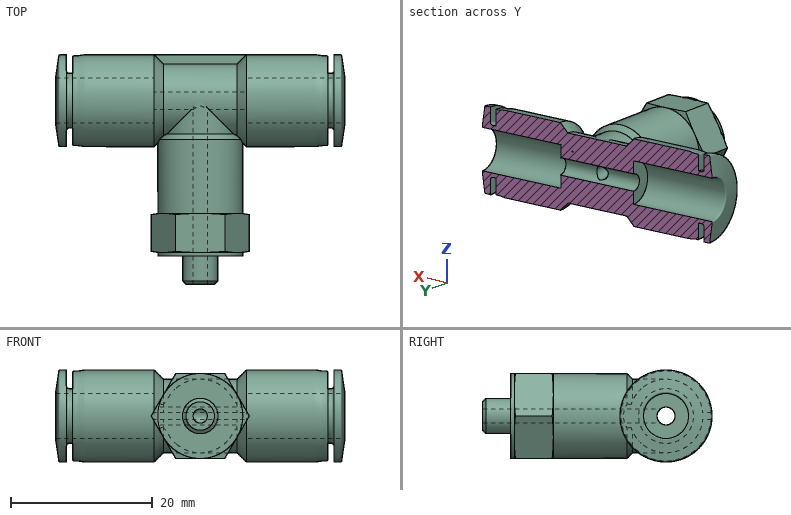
import cadquery as cq
import math


neck_radius = 5.2
bore_radius = 2.5 / 2
web_thickness = 1.0

body_radius = 13.0 / 2
body_start = 6.5
body_cone_length = body_radius - neck_radius
body_end = 16.3
lip_radius = 12.7 / 2
lip_start = 17.28
lip_end = 18.0
lip_fillet = 0.22

run_half_length = 40.79 / 2
collet_stem_radius = 7.75 / 2
flange_radius = 13.0 / 2
flange_back = 18.86
flange_front_edge = 19.97
flange_fillet = 0.25
stem_fillet = 0.36
socket_radius = 6.35 / 2
socket_floor = body_start
socket_mouth_fillet = 0.21

branch_radius = 12.0 / 2
branch_start = 5.5
branch_cone_length = branch_radius - neck_radius
hex_across_flats = 12.0
hex_sides = 6
hex_start = 15.9
hex_end = 21.4
hex_chamfer_angle = 10.0
collar_end = 21.9
pin_radius = 5.0 / 2
pin_chamfer = 0.5
branch_end = 32.4 - body_radius
pin_bore_radius = 2.0 / 2


def rod_x(radius, start, end):
    """Cylinder on the X axis."""
    return cq.Workplane("YZ", origin=(start, 0, 0)).circle(radius).extrude(end - start)


def rod_branch(radius, start, end):
    """Cylinder on the branch axis, from start to end toward -Y."""
    return cq.Workplane("XZ", origin=(0, -start, 0)).circle(radius).extrude(end - start)


def make_run_body():
    """Revolved +X body with its inner cone, end taper and rounded lip."""
    profile = (
        cq.Workplane("XY")
        .moveTo(0, 0)
        .lineTo(0, neck_radius)
        .lineTo(body_start - body_cone_length, neck_radius)
        .lineTo(body_start, body_radius)
        .lineTo(body_end, body_radius)
        .lineTo(lip_start, lip_radius)
        .lineTo(lip_end - lip_fillet, lip_radius)
        .radiusArc((lip_end, lip_radius - lip_fillet), lip_fillet)
        .lineTo(lip_end, 0)
        .close()
    )
    return profile.revolve(360, (0, 0, 0), (1, 0, 0))


def make_collet():
    """Revolved +X collet: stem, flange with a shallow conical face, rounded edges."""
    profile = (
        cq.Workplane("XY")
        .moveTo(body_end, 0)
        .lineTo(body_end, collet_stem_radius)
        .lineTo(flange_back - stem_fillet, collet_stem_radius)
        .radiusArc((flange_back, collet_stem_radius + stem_fillet), -stem_fillet)
        .lineTo(flange_back, flange_radius)
        .lineTo(flange_front_edge - flange_fillet, flange_radius)
        .radiusArc((flange_front_edge, flange_radius - flange_fillet), flange_fillet)
        .lineTo(run_half_length, socket_radius + socket_mouth_fillet)
        .lineTo(run_half_length, 0)
        .close()
    )
    return profile.revolve(360, (0, 0, 0), (1, 0, 0))


def make_socket():
    """Tube socket of the +X end, with its rounded mouth."""
    mouth_start = run_half_length - socket_mouth_fillet
    profile = (
        cq.Workplane("XY")
        .moveTo(socket_floor, 0)
        .lineTo(socket_floor, socket_radius)
        .lineTo(mouth_start, socket_radius)
        .radiusArc((run_half_length, socket_radius + socket_mouth_fillet), -socket_mouth_fillet)
        .lineTo(run_half_length, 0)
        .close()
    )
    return profile.revolve(360, (0, 0, 0), (1, 0, 0))


def make_run_end():
    """Complete +X end of the run."""
    return make_run_body().union(make_collet()).cut(make_socket())


def make_web():
    """Flat rib that bridges the two bodies along the back of the neck."""
    return cq.Workplane("XY").box(
        2 * body_start, body_radius, web_thickness, centered=(True, False, True)
    )


def make_branch():
    """Revolved branch: neck, cone, barrel, collar and chamfered pin."""
    profile = (
        cq.Workplane("XY")
        .moveTo(0, 0)
        .lineTo(neck_radius, 0)
        .lineTo(neck_radius, -(branch_start - branch_cone_length))
        .lineTo(branch_radius, -branch_start)
        .lineTo(branch_radius, -collar_end)
        .lineTo(pin_radius, -collar_end)
        .lineTo(pin_radius, -(branch_end - pin_chamfer))
        .lineTo(pin_radius - pin_chamfer, -branch_end)
        .lineTo(0, -branch_end)
        .close()
    )
    return profile.revolve(360, (0, 0, 0), (0, 1, 0))


def make_hexagon():
    """Wrench hexagon with corners on +X and -X, corners turned down at both ends."""
    corner_radius = hex_across_flats / 2 / math.cos(math.pi / hex_sides)
    flat_radius = hex_across_flats / 2
    corner_drop = (corner_radius - flat_radius) * math.tan(math.radians(hex_chamfer_angle))
    prism = (
        cq.Workplane("XZ", origin=(0, -hex_start, 0))
        .polygon(hex_sides, 2 * corner_radius)
        .extrude(hex_end - hex_start)
    )
    envelope = (
        cq.Workplane("XY")
        .moveTo(0, -hex_start)
        .lineTo(flat_radius, -hex_start)
        .lineTo(corner_radius, -(hex_start + corner_drop))
        .lineTo(corner_radius, -(hex_end - corner_drop))
        .lineTo(flat_radius, -hex_end)
        .lineTo(0, -hex_end)
        .close()
        .revolve(360, (0, 0, 0), (0, 1, 0))
    )
    return prism.intersect(envelope)


run_end = make_run_end()
tee = run_end.union(run_end.mirror("YZ"))
tee = tee.union(make_branch()).union(make_hexagon()).union(make_web())
tee = tee.cut(rod_x(bore_radius, -socket_floor, socket_floor))
result = tee.cut(rod_branch(pin_bore_radius, 0, branch_end))